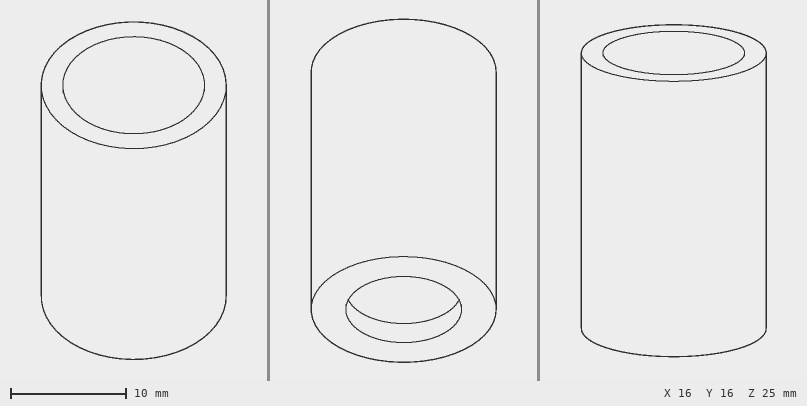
import cadquery as cq

height = 25.0
outer_diameter = 16.0
bore_diameter = 12.25

lip_hole_diameter = 10.0
lip_thickness = 2.0
bore_depth = height - lip_thickness

sleeve = cq.Workplane("XY").circle(outer_diameter / 2).extrude(height)

result = sleeve.faces(">Z").workplane().cboreHole(lip_hole_diameter, bore_diameter, bore_depth)